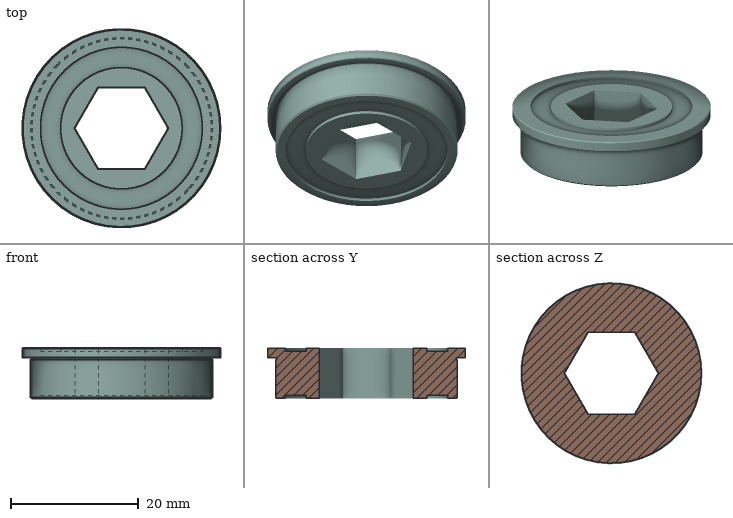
import cadquery as cq
import math

flange_diameter = 31.1
body_diameter = 28.55
height = 7.95
flange_thickness = 1.6

recess_outer_diameter = 25.4
recess_inner_diameter = 19.05
recess_depth = 0.5

hex_across_flats = 12.7
hex_across_corners = hex_across_flats / math.cos(math.pi / 6)

flange_chamfer = 0.12
body_chamfer = 0.25
relief_height = 0.25
relief_depth = 0.15

flange_radius = flange_diameter / 2
body_radius = body_diameter / 2
relief_radius = body_radius - relief_depth
flange_bottom = height - flange_thickness
relief_bottom = flange_bottom - relief_height


def make_flanged_ring():
    """Revolve the outer half-profile about Z."""
    return (
        cq.Workplane("XZ")
        .moveTo(0, 0)
        .lineTo(body_radius - body_chamfer, 0)
        .lineTo(body_radius, body_chamfer)
        .lineTo(body_radius, relief_bottom)
        .lineTo(relief_radius, relief_bottom)
        .lineTo(relief_radius, flange_bottom)
        .lineTo(flange_radius - flange_chamfer, flange_bottom)
        .lineTo(flange_radius, flange_bottom + flange_chamfer)
        .lineTo(flange_radius, height - flange_chamfer)
        .lineTo(flange_radius - flange_chamfer, height)
        .lineTo(0, height)
        .close()
        .revolve(360, (0, 0, 0), (0, 1, 0))
    )


def make_recess(bottom):
    """Annular cutter one recess deep, starting at the given height."""
    return (
        cq.Workplane("XY", origin=(0, 0, bottom))
        .circle(recess_outer_diameter / 2)
        .circle(recess_inner_diameter / 2)
        .extrude(recess_depth)
    )


hex_bore = cq.Workplane("XY").polygon(6, hex_across_corners).extrude(height)

result = make_flanged_ring().cut(hex_bore)
for recess_bottom in (0, height - recess_depth):
    result = result.cut(make_recess(recess_bottom))